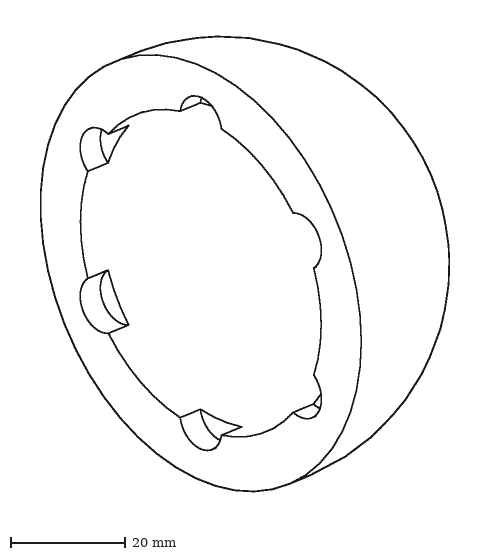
import cadquery as cq

outer_diameter = 80.1
outer_radius = outer_diameter / 2
cavity_radius = 30.0
rim_height = 5.0
notch_count = 6
notch_radius = 5.2
notch_circle_radius = 28.75


def dome(radius):
    """Hemisphere toward +Y on a short cylinder whose open face lies at Y = 0."""
    return (
        cq.Workplane("XY")
        .lineTo(radius, 0)
        .lineTo(radius, rim_height)
        .radiusArc((0, rim_height + radius), -radius)
        .close()
        .revolve(360, (0, 0), (0, 1))
    )


def rim_notches():
    """Round pockets around the mouth, as deep as the rim, with one on +Z."""
    return (
        cq.Workplane("XZ")
        .polarArray(notch_circle_radius, 90, 360, notch_count)
        .circle(notch_radius)
        .extrude(-rim_height)
    )


result = dome(outer_radius).cut(dome(cavity_radius)).cut(rim_notches())